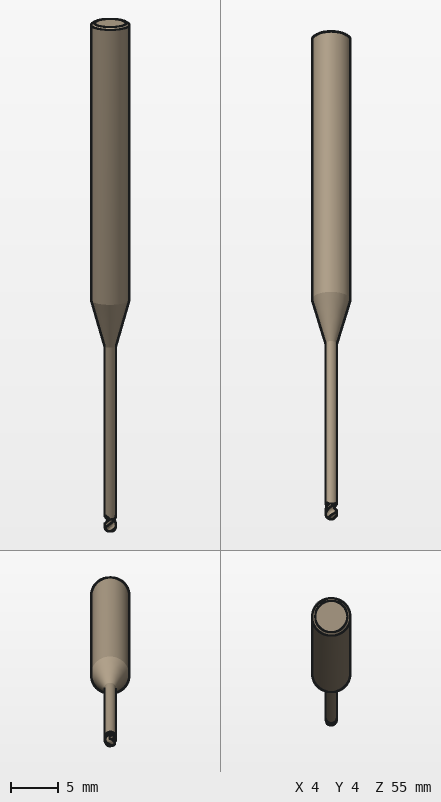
import cadquery as cq

tool_length = 55.0
shank_diameter = 4.0
shank_bottom = 25.0
chamfer_width = 0.35
chamfer_height = 0.2

neck_diameter = 1.2
neck_top = 20.0
tip_length = 1.5

web_thickness = 0.6
web_top_angle = 158.0
flute_twist_length = 3.1
runout_length = 0.35

shank_radius = shank_diameter / 2
neck_radius = neck_diameter / 2
half_web = web_thickness / 2


def make_holder():
    """Chamfered shank, conical taper and neck with two flute run-outs."""
    profile = (
        cq.Workplane("XZ")
        .moveTo(0, tip_length)
        .lineTo(neck_radius, tip_length)
        .lineTo(neck_radius, neck_top)
        .lineTo(shank_radius, shank_bottom)
        .lineTo(shank_radius, tool_length - chamfer_height)
        .lineTo(shank_radius - chamfer_width, tool_length)
        .lineTo(0, tool_length)
        .close()
    )
    holder = profile.revolve(360, (0, 0, 0), (0, 1, 0))
    for side in (-1, 1):
        holder = holder.cut(make_runout(side))
    return holder


def make_runout(side):
    """Wedge that slopes from the web face out to the neck surface."""
    return (
        cq.Workplane("YZ")
        .moveTo(side * half_web, tip_length)
        .lineTo(side * neck_radius, tip_length)
        .lineTo(side * neck_radius, tip_length + runout_length)
        .close()
        .extrude(neck_radius, both=True)
        .rotate((0, 0, 0), (0, 0, 1), web_top_angle)
    )


def make_tip():
    """Twisted flat web trimmed to a cylinder with a hemispherical end."""
    envelope = (
        cq.Workplane("XZ")
        .moveTo(0, 0)
        .radiusArc((neck_radius, neck_radius), -neck_radius)
        .lineTo(neck_radius, tip_length)
        .lineTo(0, tip_length)
        .close()
        .revolve(360, (0, 0, 0), (0, 1, 0))
    )
    twist_angle = 360 * tip_length / flute_twist_length
    web = (
        cq.Workplane("XY")
        .transformed(rotate=(0, 0, web_top_angle - twist_angle))
        .rect(2 * neck_diameter, web_thickness)
        .twistExtrude(tip_length, twist_angle)
    )
    return envelope.intersect(web)


holder = make_holder()
cutting_tip = make_tip()

result = cq.Compound.makeCompound([holder.val(), cutting_tip.val()])